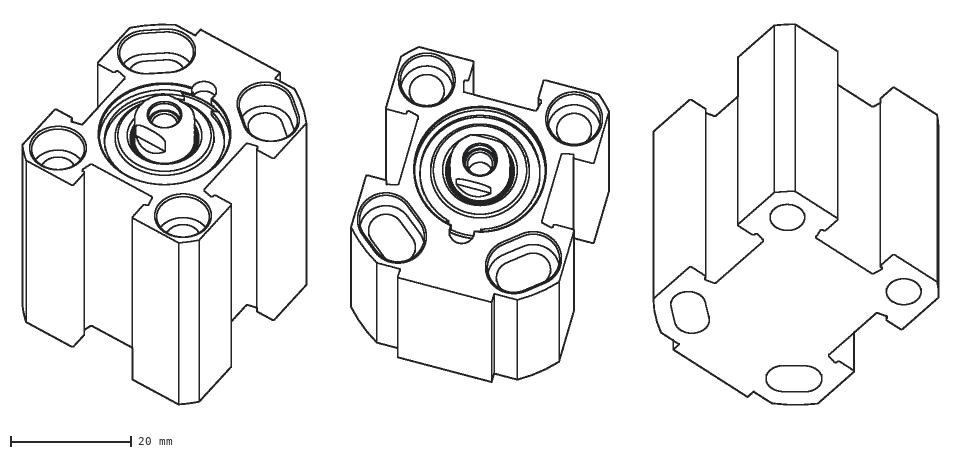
import cadquery as cq
import math


SIDE_HALF = 18.0
BODY_HEIGHT = 42.0
CORNER_RADIUS = 23.8
BACK_EDGE = 20.45
BOSS_FACE = 22.0
BOSS_WIDTH = 16.25

LIP_HALF_WIDTH = 6.0
LIP_THICKNESS = 3.55
UNDERCUT_HALF_WIDTH = 6.75
FLOOR_HALF_WIDTH = 6.25
FLOOR_OFFSET = 12.35
GROOVE_ROUNDING = 0.3
LIP_BACK_OFFSET = SIDE_HALF - LIP_THICKNESS
GROOVE_ANGLES = (-90, 0, 90)

MOUNT_OFFSET = 12.75
SLOT_END_X = 10.0
SLOT_END_Y = 15.0
MOUNT_DIAMETER = 5.8
MOUNT_HEAD_DIAMETER = 8.8
MOUNT_HEAD_DEPTH = 5.8
MOUNT_CHAMFER = 0.35

SEAT_DIAMETER = 21.8
SEAT_CHAMFER = 0.15
RING_OUTER_DIAMETER = 22.8
RING_INNER_DIAMETER = 20.0
RING_DEPTH = 1.6
RING_THICKNESS = 1.0
RING_TOP = BODY_HEIGHT - RING_DEPTH
RING_BOTTOM = RING_TOP - RING_THICKNESS
RING_GAP_HALF = 2.75
RING_END_ANGLE = 30.0
NOTCH_DIAMETER = 4.15
NOTCH_DEPTH = 2.5

COVER_THICKNESS = 8.0
COVER_BOTTOM = RING_BOTTOM - COVER_THICKNESS
COLLAR_DIAMETER = 16.5
COLLAR_DEPTH = 0.4
COLLAR_TOP = BODY_HEIGHT - COLLAR_DEPTH
COLLAR_CHAMFER = 0.45
COLLAR_FILLET = 0.4
MOUTH_DIAMETER = 11.4
MOUTH_CHAMFER = 0.5

BORE_DIAMETER = RING_INNER_DIAMETER
BORE_FLOOR = 4.0

SEAL_DEPTH = 0.8
SEAL_TOP = COLLAR_TOP - SEAL_DEPTH
SEAL_THICKNESS = 1.9
SEAL_BOTTOM = SEAL_TOP - SEAL_THICKNESS
SEAL_LIP_DIAMETER = 10.5
SEAL_LIP_DEPTH = 0.45
SEAL_LIP_CHAMFER = 0.25

ROD_DIAMETER = 10.0
ROD_TOP = 47.0
ROD_ROUNDING = 1.3
WIDTH_ACROSS_FLATS = 8.05
FLATS_HEIGHT = 3.55
SOCKET_DIAMETER = 5.25
SOCKET_CHAMFER = 0.25
SOCKET_DEPTH = 1.95
TAP_DIAMETER = 4.15
TAP_CHAMFER = 0.35
TAP_DEPTH = 7.5
DRILL_POINT_ANGLE = 118.0


def disc(diameter, bottom, top):
    """Cylinder about the rod axis."""
    return cq.Workplane("XY").workplane(offset=bottom).circle(diameter / 2).extrude(top - bottom)


def cone(bottom_diameter, top_diameter, bottom, top):
    """Cone about the rod axis."""
    base = cq.Vector(0, 0, bottom)
    return cq.Workplane(cq.Solid.makeCone(bottom_diameter / 2, top_diameter / 2, top - bottom, base))


def countersink(diameter, chamfer, top):
    """Cutter for a 45 degree chamfer on the rim of a bore about the rod axis."""
    return cone(diameter, diameter + 2 * chamfer, top - chamfer, top)



def groove_half_profile():
    """Corners of the +X half of the -Y groove, from the opening to the floor."""
    return [
        (LIP_HALF_WIDTH, -SIDE_HALF),
        (LIP_HALF_WIDTH, -LIP_BACK_OFFSET),
        (UNDERCUT_HALF_WIDTH, -LIP_BACK_OFFSET),
        (FLOOR_HALF_WIDTH, -FLOOR_OFFSET),
    ]


def cut_groove(block, angle):
    """Cut one undercut groove over the full height and round its long edges."""
    right = groove_half_profile()
    left = [(-x, y) for x, y in reversed(right)]
    groove = cq.Workplane("XY").polyline(right + left).close().extrude(BODY_HEIGHT)
    block = block.cut(groove.rotate((0, 0, 0), (0, 0, 1), angle))
    turn = math.radians(angle)
    for x, y in right + left:
        edge_x = x * math.cos(turn) - y * math.sin(turn)
        edge_y = x * math.sin(turn) + y * math.cos(turn)
        edge = cq.selectors.NearestToPointSelector((edge_x, edge_y, BODY_HEIGHT / 2))
        block = block.edges(edge).fillet(GROOVE_ROUNDING)
    return block


def make_block():
    """Block with corners on one circle, the +Y boss and the three grooves."""
    from_origin = (True, False, False)
    block = cq.Workplane("XY").box(2 * SIDE_HALF, SIDE_HALF + BACK_EDGE, BODY_HEIGHT, centered=from_origin)
    block = block.translate((0, -SIDE_HALF, 0)).intersect(disc(2 * CORNER_RADIUS, 0, BODY_HEIGHT))
    block = block.union(cq.Workplane("XY").box(BOSS_WIDTH, BOSS_FACE, BODY_HEIGHT, centered=from_origin))
    for angle in GROOVE_ANGLES:
        block = cut_groove(block, angle)
    return block


def round_outline(plane, side, diameter):
    """Outline of a mounting hole at -Y."""
    return plane.center(side * MOUNT_OFFSET, -MOUNT_OFFSET).circle(diameter / 2)


def oblong_outline(plane, side, diameter):
    """Outline of a mounting hole at +Y."""
    run_x = side * (SLOT_END_X - MOUNT_OFFSET)
    run_y = SLOT_END_Y - MOUNT_OFFSET
    middle_x = side * (SLOT_END_X + MOUNT_OFFSET) / 2
    middle_y = (SLOT_END_Y + MOUNT_OFFSET) / 2
    length = math.hypot(run_x, run_y) + diameter
    return plane.center(middle_x, middle_y).slot2D(length, diameter, math.degrees(math.atan2(run_y, run_x)))


def make_mount_hole(outline, side):
    """Cutter for a through hole with a chamfered counterbore."""
    top = cq.Workplane("XY").workplane(offset=BODY_HEIGHT)
    hole = outline(top, side, MOUNT_DIAMETER).extrude(-BODY_HEIGHT)
    head = outline(top, side, MOUNT_HEAD_DIAMETER).extrude(-MOUNT_HEAD_DEPTH)
    rim = outline(top, side, MOUNT_HEAD_DIAMETER + 2 * MOUNT_CHAMFER).extrude(-MOUNT_CHAMFER, taper=45)
    return hole.union(head).union(rim)


def make_housing():
    body = make_block()
    for outline in (round_outline, oblong_outline):
        for side in (-1, 1):
            body = body.cut(make_mount_hole(outline, side))
    body = body.cut(disc(BORE_DIAMETER, BORE_FLOOR, COVER_BOTTOM))
    body = body.cut(disc(SEAT_DIAMETER, COVER_BOTTOM, BODY_HEIGHT))
    body = body.cut(countersink(SEAT_DIAMETER, SEAT_CHAMFER, BODY_HEIGHT))
    body = body.cut(disc(RING_OUTER_DIAMETER, RING_BOTTOM, RING_TOP))
    notch = disc(NOTCH_DIAMETER, BODY_HEIGHT - NOTCH_DEPTH, BODY_HEIGHT)
    return body.cut(notch.translate((0, RING_OUTER_DIAMETER / 2, 0)))



def make_ring():
    """Flat ring with a gap at +Y that widens outwards."""
    ring = disc(RING_OUTER_DIAMETER, RING_BOTTOM, RING_TOP)
    ring = ring.cut(disc(RING_INNER_DIAMETER, RING_BOTTOM, RING_TOP))
    inner_y = math.sqrt((RING_INNER_DIAMETER / 2) ** 2 - RING_GAP_HALF ** 2)
    outer_y = RING_OUTER_DIAMETER / 2
    outer_half = RING_GAP_HALF + (outer_y - inner_y) / math.tan(math.radians(RING_END_ANGLE))
    gap = (
        cq.Workplane("XY").workplane(offset=RING_BOTTOM)
        .polyline([
            (0, 0),
            (RING_GAP_HALF, inner_y),
            (outer_half, outer_y),
            (-outer_half, outer_y),
            (-RING_GAP_HALF, inner_y),
        ])
        .close().extrude(RING_THICKNESS)
    )
    return ring.cut(gap)



def make_cover():
    """Flange under the ring, with a collar around the rod and a recess for the seal."""
    collar = disc(COLLAR_DIAMETER, RING_BOTTOM, COLLAR_TOP).faces(">Z").chamfer(COLLAR_CHAMFER)
    cover = disc(SEAT_DIAMETER, COVER_BOTTOM, RING_BOTTOM).union(collar)
    collar_foot = cq.selectors.RadiusNthSelector(0)
    flange_top = cover.faces(cq.selectors.NearestToPointSelector((0, 0, RING_BOTTOM)))
    cover = flange_top.edges(collar_foot).fillet(COLLAR_FILLET)
    cover = cover.cut(disc(ROD_DIAMETER, COVER_BOTTOM, COLLAR_TOP))
    cover = cover.cut(disc(MOUTH_DIAMETER, SEAL_BOTTOM, COLLAR_TOP))
    return cover.cut(countersink(MOUTH_DIAMETER, MOUTH_CHAMFER, COLLAR_TOP))



def make_seal():
    """Sleeve on the rod with a chamfered recess in its top."""
    seal = disc(MOUTH_DIAMETER, SEAL_BOTTOM, SEAL_TOP)
    seal = seal.cut(disc(ROD_DIAMETER, SEAL_BOTTOM, SEAL_TOP))
    seal = seal.cut(disc(SEAL_LIP_DIAMETER, SEAL_TOP - SEAL_LIP_DEPTH, SEAL_TOP))
    return seal.cut(countersink(SEAL_LIP_DIAMETER, SEAL_LIP_CHAMFER, SEAL_TOP))



def cut_flat(rod, side):
    """Cut one wrench flat, which runs out at 45 degrees at its lower end."""
    inner = WIDTH_ACROSS_FLATS / 2
    outer = ROD_DIAMETER / 2
    flat_bottom = ROD_TOP - FLATS_HEIGHT
    runout_bottom = flat_bottom - (outer - inner)
    profile = [
        (side * inner, ROD_TOP),
        (side * inner, flat_bottom),
        (side * outer, runout_bottom),
        (side * outer, ROD_TOP),
    ]
    return rod.cut(cq.Workplane("YZ").polyline(profile).close().extrude(ROD_DIAMETER / 2, both=True))


def make_rod():
    """Rounded rod with two flats and a stepped hole that ends in a drill point."""
    rod = disc(ROD_DIAMETER, BORE_FLOOR, ROD_TOP).faces(">Z").edges().fillet(ROD_ROUNDING)
    for side in (-1, 1):
        rod = cut_flat(rod, side)
    socket_floor = ROD_TOP - SOCKET_DEPTH
    rod = rod.cut(disc(SOCKET_DIAMETER, socket_floor, ROD_TOP))
    rod = rod.cut(countersink(SOCKET_DIAMETER, SOCKET_CHAMFER, ROD_TOP))
    tap_floor = ROD_TOP - TAP_DEPTH
    rod = rod.cut(disc(TAP_DIAMETER, tap_floor, socket_floor))
    rod = rod.cut(countersink(TAP_DIAMETER, TAP_CHAMFER, socket_floor))
    point_depth = TAP_DIAMETER / 2 / math.tan(math.radians(DRILL_POINT_ANGLE / 2))
    return rod.cut(cone(0, TAP_DIAMETER, tap_floor - point_depth, tap_floor))


housing = make_housing()
ring = make_ring()
cover = make_cover()
seal = make_seal()
rod = make_rod()

result = cq.Compound.makeCompound([housing.val(), ring.val(), cover.val(), seal.val(), rod.val()])